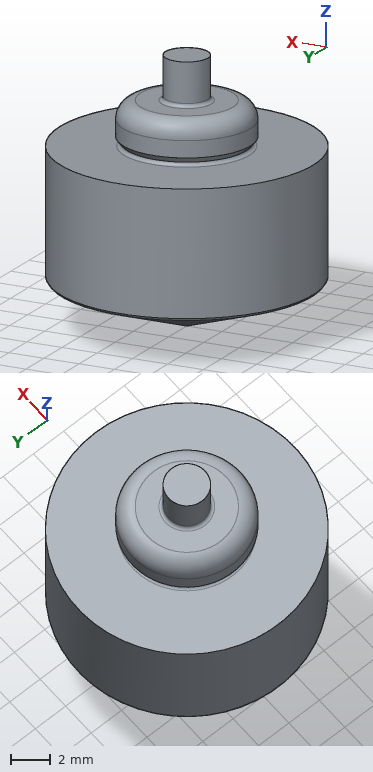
import cadquery as cq
import math

total_height = 14.39

body_radius = 14.29 / 2
cone_angle = 20.0
edge_chamfer_width = 0.1
edge_chamfer_height = 0.13
body_top = 9.57

foot_fillet = 0.2

knob_radius = 3.6
knob_top = 11.99
knob_fillet = 1.0
knob_chamfer_height = 0.3
neck_radius = 3.34
knob_bottom = body_top + foot_fillet

pin_radius = 2.4 / 2


def add_foot_fillet(profile, radius, floor):
    """Continue a profile from the floor up a concave quarter arc to the given radius."""
    centre_r = radius + foot_fillet
    centre_z = floor + foot_fillet
    reach = foot_fillet * math.sqrt(0.5)
    return profile.lineTo(centre_r, floor).threePointArc(
        (centre_r - reach, centre_z - reach),
        (radius, centre_z),
    )


def make_body():
    """Cylinder with a conical underside and a low flared seat for the knob."""
    cone_radius = body_radius - edge_chamfer_width
    cone_height = cone_radius * math.tan(math.radians(cone_angle))
    profile = (
        cq.Workplane("XZ")
        .lineTo(cone_radius, cone_height)
        .lineTo(body_radius, cone_height + edge_chamfer_height)
        .lineTo(body_radius, body_top)
    )
    profile = add_foot_fillet(profile, neck_radius, body_top)
    return profile.lineTo(0, knob_bottom).close().revolve(360, (0, 0), (0, 1))


def make_knob():
    """Rounded knob with a chamfered lower edge, in one piece with its pin."""
    round_centre_r = knob_radius - knob_fillet
    round_centre_z = knob_top - knob_fillet
    reach = knob_fillet * math.sqrt(0.5)
    profile = (
        cq.Workplane("XZ")
        .moveTo(0, knob_bottom)
        .lineTo(neck_radius, knob_bottom)
        .lineTo(knob_radius, knob_bottom + knob_chamfer_height)
        .lineTo(knob_radius, round_centre_z)
        .threePointArc(
            (round_centre_r + reach, round_centre_z + reach),
            (round_centre_r, knob_top),
        )
    )
    profile = add_foot_fillet(profile, pin_radius, knob_top)
    return (
        profile.lineTo(pin_radius, total_height)
        .lineTo(0, total_height)
        .close()
        .revolve(360, (0, 0), (0, 1))
    )


body = make_body()
knob = make_knob()
result = cq.Compound.makeCompound([body.val(), knob.val()])